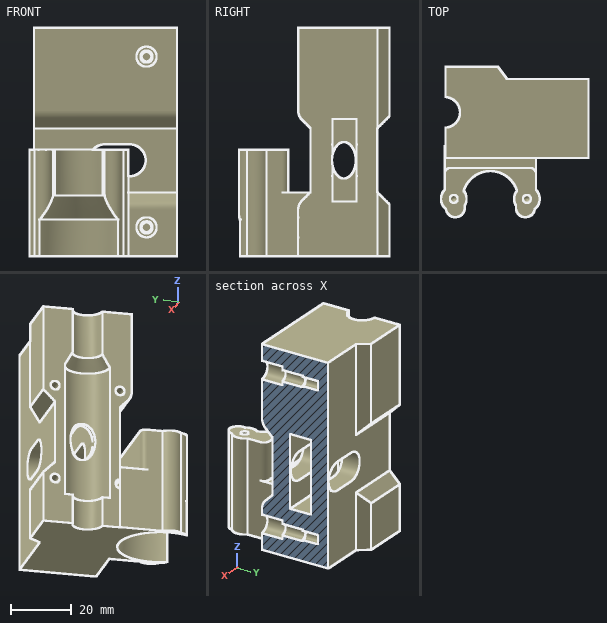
import cadquery as cq
import math

block_height = 75.0
block_left = 0.25
block_length = 47.0
block_right = block_left + block_length
block_half_width = 15.0
block_mid_x = block_left + block_length / 2

waist_half_width = 11.0
waist_bottom = 21.0
waist_top = 42.0
ramp = block_half_width - waist_half_width
ramp_edge_radius = 4.0

relief_start_x = 17.5
relief_full_x = 20.5

bore_radius = 5.0
wide_bore_radius = 7.6
wide_bore_bottom = 10.0
cone_top = 60.0
cone_slope = math.tan(math.radians(60))
wide_bore_top = cone_top - (wide_bore_radius - bore_radius) * cone_slope

opening_z = (waist_bottom + waist_top) / 2
slot_radius = 5.2
slot_mid_x = 27.6
slot_center_distance = 8.2
oval_half_width = 3.85
oval_half_height = 5.95
oval_mouth_x = 6.0
oval_mouth_half_width = 4.25
oval_mouth_half_height = 7.0

bay_left = 8.6
bay_front_y = -3.8
bay_back_y = 4.2
bay_height = 27.0

pilot_radius = 1.5
pilot_depth = 8.0
pilot_y = 11.0
pilot_offset_z = 16.25
drill_point_angle = 118.0

screw_x = 37.2
screw_heights = (9.5, 65.5)
head_radius = 3.3
head_depth = 8.0
shank_radius = 2.0
shank_depth = 16.0
core_radius = 1.6
core_depth = 22.0

clamp_width = 30.0
clamp_mid_x = clamp_width / 2
clamp_height = 35.0
clamp_axis_y = -28.4
clamp_back_y = -18.2
clamp_corner_radius = 2.0
ledge_height = waist_bottom
lobe_offset = 12.0
lobe_radius = 4.24
tip_offset = 11.5
tip_radius = 3.15
clamp_front_y = -34.45
tip_y = clamp_front_y + tip_radius
clamp_hole_radius = 1.3
clamp_hole_depth = 10.0
grip_radius = 9.1
grip_bottom = 20.0
socket_top = 12.0
socket_radius = 14.1


def upright_cylinder(x, y, radius, bottom, top):
    return cq.Workplane("XY", origin=(x, y, bottom)).circle(radius).extrude(top - bottom)


def drill(start, direction, radius, depth):
    """Cylindrical hole with a conical drill point beyond its full depth."""
    point = radius / math.tan(math.radians(drill_point_angle / 2))
    start = cq.Vector(*start)
    direction = cq.Vector(*direction)
    hole = cq.Solid.makeCylinder(radius, depth, start, direction)
    tip = cq.Solid.makeCone(radius, 0, point, start + direction * depth, direction)
    return cq.Workplane(hole.fuse(tip))


def make_block():
    profile = [
        (-block_half_width, 0),
        (-block_half_width, waist_bottom - ramp),
        (-waist_half_width, waist_bottom),
        (-waist_half_width, waist_top),
        (-block_half_width, waist_top + ramp),
        (-block_half_width, block_height),
        (block_half_width, block_height),
        (block_half_width, waist_top + ramp),
        (waist_half_width, waist_top),
        (waist_half_width, waist_bottom),
        (block_half_width, waist_bottom - ramp),
        (block_half_width, 0),
    ]
    block = cq.Workplane("YZ", origin=(block_left, 0, 0)).polyline(profile).close().extrude(block_length)
    for edge_z in (waist_bottom - ramp, waist_top + ramp):
        edge = cq.selectors.NearestToPointSelector((block_mid_x, -block_half_width, edge_z))
        block = block.edges(edge).fillet(ramp_edge_radius)
    relief = [
        (relief_start_x, block_half_width),
        (relief_full_x, waist_half_width),
        (block_right, waist_half_width),
        (block_right, block_half_width),
    ]
    return block.cut(cq.Workplane("XY").polyline(relief).close().extrude(block_height))


def make_stepped_bore():
    profile = [
        (0, 0),
        (bore_radius, 0),
        (bore_radius, wide_bore_bottom),
        (wide_bore_radius, wide_bore_bottom),
        (wide_bore_radius, wide_bore_top),
        (bore_radius, cone_top),
        (bore_radius, block_height),
        (0, block_height),
    ]
    return cq.Workplane("XZ").polyline(profile).close().revolve(360, (0, 0), (0, 1))


def make_openings():
    """Slot along Y, oval passage along X that narrows from the bore, and the bay where they cross."""
    slot = (
        cq.Workplane("XZ")
        .center(slot_mid_x, opening_z)
        .slot2D(slot_center_distance + 2 * slot_radius, 2 * slot_radius)
        .extrude(block_half_width, both=True)
    )
    oval = (
        cq.Workplane("YZ", origin=(0, 0, opening_z))
        .ellipse(oval_half_width, oval_half_height)
        .extrude(block_right)
    )
    flare = (
        cq.Workplane("YZ", origin=(oval_mouth_x, 0, opening_z))
        .ellipse(oval_mouth_half_width, oval_mouth_half_height)
        .workplane(offset=bay_left - oval_mouth_x)
        .ellipse(oval_half_width, oval_half_height)
        .loft()
    )
    bay = (
        cq.Workplane("XY", origin=(bay_left, bay_front_y, opening_z - bay_height / 2))
        .box(block_right - bay_left, bay_back_y - bay_front_y, bay_height, centered=False)
    )
    return slot.union(oval).union(flare).union(bay)


def make_pilot_holes():
    holes = cq.Workplane()
    for y in (-pilot_y, pilot_y):
        for z in (opening_z - pilot_offset_z, opening_z + pilot_offset_z):
            holes = holes.add(drill((block_left, y, z), (1, 0, 0), pilot_radius, pilot_depth))
    return holes.combine()


def make_screw_hole(z):
    steps = ((head_radius, head_depth), (shank_radius, shank_depth), (core_radius, core_depth))
    hole = cq.Workplane()
    for radius, depth in steps:
        step = cq.Workplane("XZ", origin=(screw_x, -block_half_width, z)).circle(radius).extrude(-depth)
        hole = hole.add(step)
    return hole.combine()


def make_clamp_wall():
    depth = clamp_back_y - clamp_axis_y
    base_depth = -waist_half_width - clamp_axis_y
    start = cq.Workplane("XY", origin=(0, clamp_axis_y, 0))
    base = start.box(clamp_width, base_depth, ledge_height, centered=False)
    wall = start.box(clamp_width, depth, clamp_height, centered=False)
    return base.union(wall.edges("|Z and >Y").fillet(clamp_corner_radius))


def make_clamp_lobe(side):
    lobe = upright_cylinder(clamp_mid_x + side * lobe_offset, clamp_axis_y, lobe_radius, 0, clamp_height)
    tip = upright_cylinder(clamp_mid_x + side * tip_offset, tip_y, tip_radius, 0, clamp_height)
    return lobe.union(tip)


def make_socket():
    """Wide lower end of the clamp opening, with a cone that narrows to the grip."""
    profile = [
        (0, 0),
        (socket_radius, 0),
        (socket_radius, socket_top),
        (grip_radius, grip_bottom),
        (0, grip_bottom),
    ]
    socket = cq.Workplane("XZ").polyline(profile).close().revolve(360, (0, 0), (0, 1))
    return socket.translate((clamp_mid_x, clamp_axis_y, 0))


def make_clamp():
    """Wall bored to the grip radius; the lobes stand slightly into that bore."""
    clamp = make_clamp_wall()
    clamp = clamp.cut(upright_cylinder(clamp_mid_x, clamp_axis_y, grip_radius, 0, clamp_height))
    for side in (-1, 1):
        clamp = clamp.union(make_clamp_lobe(side))
        hole_start = (clamp_mid_x + side * lobe_offset, clamp_axis_y, clamp_height)
        clamp = clamp.cut(drill(hole_start, (0, 0, -1), clamp_hole_radius, clamp_hole_depth))
    return clamp


result = make_block().cut(make_pilot_holes()).union(make_clamp())
result = result.cut(make_socket()).cut(make_openings()).cut(make_stepped_bore())
for screw_z in screw_heights:
    result = result.cut(make_screw_hole(screw_z))